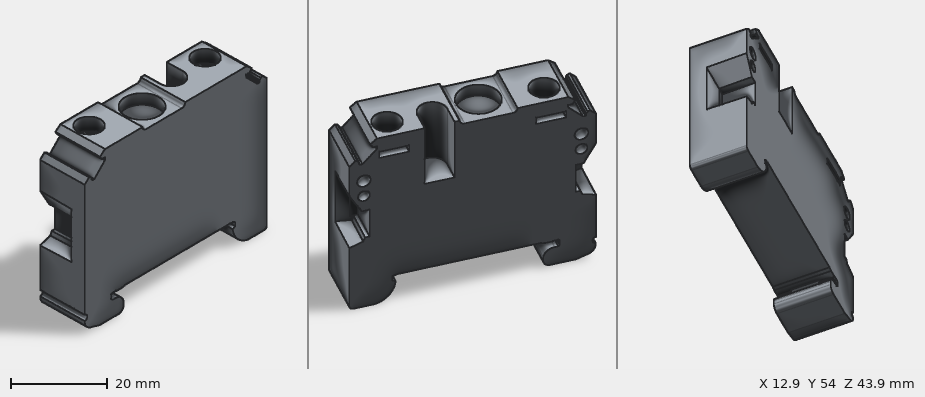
import cadquery as cq
import math


thickness = 12.9
length = 54.0
height = 43.9
half_length = length / 2

shoulder_z = 37.9
dip_round = 1.0
dip_floor_z = height - dip_round
dip_y_max = 2.8
dip_y_min = -9.85

rail_face_z = 6.7
groove_top_z = 6.55
lip_z = 6.4
lip_end_y = -17.6
catch_z = 4.8
foot_tip_y = -15.45
foot_sole_z = 0.3
foot_sole_round = 1.5
sole_round = 0.85

screw_hole_diameter = 6.55
screw_hole_x = 4.6
screw_hole_y = 17.15
wire_slot_y = 7.25
wire_slot_floor_z = 29.1
window_top_z = 40.25
window_floor_z = 38.6
large_bore_diameter = 9.7
large_bore_x = 6.6
large_bore_y = -3.5
large_bore_depth = 2.95

pin_hole_y = 23.8
pin_hole_depth = 6.5
upper_pin_hole_diameter, upper_pin_hole_z = 2.95, 33.35
lower_pin_hole_diameter, lower_pin_hole_z = 2.6, 29.4

entry_mouth_x = 9.05
pocket_x = 7.45
pocket_y = 22.55
funnel_y = 24.3
entry_top_z = 30.15
pocket_top_z = 25.45
pocket_floor_z = 18.3
entry_floor_z = 16.35
entry_step_top_y = 23.55
entry_step_y = 24.0
entry_step_z = 17.35
entry_draft = 0.2

spring_thickness = 0.55
spring_lean = 0.45
spring_margin = 3.25
spring_bottom_z = 4.3

arc_inset = 1 - math.sqrt(0.5)

CORNER_HOOK = [
    (half_length, shoulder_z),
    (25.7, 39.15),
    (25.15, 38.95),
    (24.85, 38.5),
    (24.85, 38.05),
    (24.6, 37.9),
    (24.15, 37.9),
    (21.0, 41.1),
    (20.9, 41.4),
    (20.9, 41.8),
    (21.85, 41.8),
    (22.45, 42.7),
    (20.95, height),
]

RELEASE_GROOVE = [(-half_length, 5.15), (-26.25, 4.45), (-26.95, 3.5)]

TOE = [(-26.35, 1.8), (-24.8, 0.95)]
foot_slope_end = (-22.6, foot_sole_z)

FOOT_TIP = [(foot_tip_y, 2.8), (-16.2, 4.15), (-17.95, catch_z)]

RAIL_GROOVE = [
    (-18.75, catch_z),
    (-19.05, 5.15),
    (-19.05, 6.25),
    (-18.75, groove_top_z),
    (lip_end_y, groove_top_z),
    (lip_end_y, lip_z),
    (-15.75, lip_z),
    (-14.95, rail_face_z),
]

FIXED_CATCH = [
    (16.35, rail_face_z),
    (17.1, 6.55),
    (17.55, 6.25),
    (17.55, 5.3),
    (16.85, 4.85),
]
FIXED_FOOT = [(18.3, 1.7), (21.4, 0)]


def mirrored(points):
    """The same YZ points on the other half of the block, in reverse order."""
    return [(-y, z) for y, z in reversed(points)]


def block_outline():
    """YZ outline of the housing, starting at the +Y end of the sole and running over the top."""
    outline = cq.Workplane("YZ").moveTo(half_length, sole_round)
    for point in CORNER_HOOK:
        outline = outline.lineTo(*point)

    round_mid_y = dip_round * arc_inset
    round_mid_z = dip_floor_z + round_mid_y
    outline = (
        outline.lineTo(dip_y_max, height)
        .threePointArc((dip_y_max - round_mid_y, round_mid_z), (dip_y_max - dip_round, dip_floor_z))
        .lineTo(dip_y_min + dip_round, dip_floor_z)
        .threePointArc((dip_y_min + round_mid_y, round_mid_z), (dip_y_min, height))
    )
    for point in mirrored(CORNER_HOOK):
        outline = outline.lineTo(*point)

    outline = (
        outline.lineTo(*RELEASE_GROOVE[0])
        .threePointArc(*RELEASE_GROOVE[1:])
        .threePointArc(*TOE)
        .lineTo(*foot_slope_end)
        .lineTo(foot_tip_y - foot_sole_round, foot_sole_z)
        .threePointArc(
            (foot_tip_y - foot_sole_round * arc_inset, foot_sole_z + foot_sole_round * arc_inset),
            (foot_tip_y, foot_sole_z + foot_sole_round),
        )
    )

    outline = outline.lineTo(*FOOT_TIP[0]).threePointArc(*FOOT_TIP[1:])
    for point in RAIL_GROOVE:
        outline = outline.lineTo(*point)

    for point in FIXED_CATCH:
        outline = outline.lineTo(*point)
    outline = (
        outline.threePointArc(*FIXED_FOOT)
        .lineTo(half_length - sole_round, 0)
        .threePointArc(
            (half_length - sole_round * arc_inset, sole_round * arc_inset),
            (half_length, sole_round),
        )
    )
    return outline.close()


def side_slot(center_y, floor_z, top_z):
    """Slot entering from the open side and ending in a half round below the screw axis."""
    depth = top_z - floor_z
    straight = (
        cq.Workplane("XY", origin=(0, center_y, floor_z))
        .rect(2 * screw_hole_x, screw_hole_diameter)
        .extrude(depth)
    )
    return straight.union(round_hole(screw_hole_x, center_y, screw_hole_diameter, floor_z, top_z))


def round_hole(x, y, diameter, floor_z, top_z):
    """Vertical round cutter between two heights."""
    return cq.Workplane("XY", origin=(x, y, floor_z)).circle(diameter / 2).extrude(top_z - floor_z)


def pin_hole(y, z, diameter):
    """Blind round hole in the open side."""
    return cq.Workplane("YZ", origin=(0, y, z)).circle(diameter / 2).extrude(pin_hole_depth)


def drafted_prism(section):
    """Cutter along X whose section is section(rise), the rise growing from 0 to the draft."""
    return (
        cq.Workplane("YZ")
        .polyline(section(0))
        .close()
        .workplane(offset=entry_mouth_x)
        .polyline(section(entry_draft))
        .close()
        .loft(ruled=True)
    )


def funnel_section(rise):
    """YZ section of the funnel of the +Y wire entry."""
    return [
        (half_length, entry_top_z - rise),
        (funnel_y, pocket_top_z - rise),
        (funnel_y, pocket_floor_z + rise),
        (entry_step_top_y, pocket_floor_z + rise),
        (entry_step_y, entry_step_z + rise),
        (half_length, entry_floor_z + rise),
    ]


def pocket_section(rise):
    """YZ section of the pocket behind the funnel of the +Y wire entry."""
    return [
        (funnel_y, pocket_top_z - rise),
        (pocket_y, pocket_top_z - rise),
        (pocket_y, pocket_floor_z + rise),
        (funnel_y, pocket_floor_z + rise),
    ]


def wire_entry():
    """Cutter for the +Y wire entry: a funnel with a slanted side wall, and a pocket behind it."""
    side_slope = (entry_mouth_x - pocket_x) / (half_length - funnel_y)
    back_x = entry_mouth_x - side_slope * (half_length - pocket_y)
    funnel_plan = (
        cq.Workplane("XY")
        .polyline([(0, half_length), (entry_mouth_x, half_length), (back_x, pocket_y), (0, pocket_y)])
        .close()
        .extrude(height)
    )
    pocket_plan = (
        cq.Workplane("XY")
        .rect(pocket_x, length, centered=False)
        .extrude(height)
    )
    funnel = drafted_prism(funnel_section).intersect(funnel_plan)
    pocket = drafted_prism(pocket_section).intersect(pocket_plan)
    return funnel.union(pocket)


def make_housing():
    housing = block_outline().extrude(thickness)

    for y in (screw_hole_y, -screw_hole_y):
        housing = housing.cut(round_hole(screw_hole_x, y, screw_hole_diameter, window_floor_z, height))
        housing = housing.cut(side_slot(y, window_floor_z, window_top_z))
    housing = housing.cut(side_slot(wire_slot_y, wire_slot_floor_z, height))
    housing = housing.cut(
        round_hole(
            large_bore_x,
            large_bore_y,
            large_bore_diameter,
            dip_floor_z - large_bore_depth,
            height,
        )
    )

    for y in (pin_hole_y, -pin_hole_y):
        housing = housing.cut(pin_hole(y, upper_pin_hole_z, upper_pin_hole_diameter))
        housing = housing.cut(pin_hole(y, lower_pin_hole_z, lower_pin_hole_diameter))

    entry = wire_entry()
    return housing.cut(entry).cut(entry.mirror("XZ"))


def make_rail_spring(housing):
    """Thin leaning leaf between the lip and the -Y foot, trimmed to rest on the foot."""
    top_y = lip_end_y
    bottom_y = lip_end_y + spring_lean
    leaf = (
        cq.Workplane("YZ", origin=(spring_margin, 0, 0))
        .polyline([
            (top_y, lip_z),
            (top_y + spring_thickness, lip_z),
            (bottom_y + spring_thickness, spring_bottom_z),
            (bottom_y, spring_bottom_z),
        ])
        .close()
        .extrude(thickness - 2 * spring_margin)
    )
    return leaf.cut(housing)


housing = make_housing()
rail_spring = make_rail_spring(housing)

result = cq.Compound.makeCompound([housing.val(), rail_spring.val()])